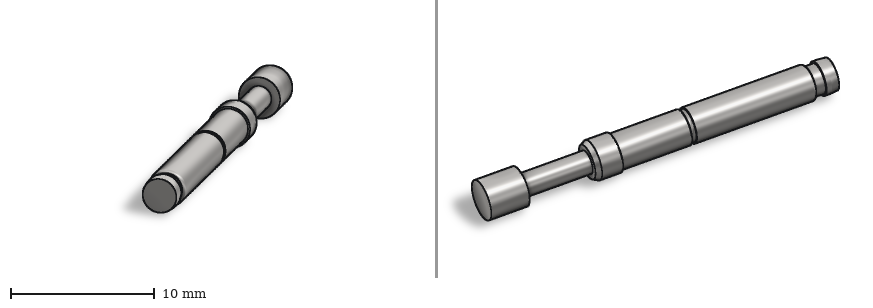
import cadquery as cq

total_length = 27.3

head_diameter = 3.0
head_length = 3.0

plunger_diameter = 1.75
plunger_length = 5.25

collar_diameter = head_diameter
collar_length = 2.05
collar_chamfer_length = 0.4
collar_chamfer_depth = 0.22

barrel_diameter = 2.7
barrel_rounding = 0.25

groove_edge_diameter = 2.48
groove_bottom_diameter = 2.35
groove_width = 0.38
groove_distance = 15.75

neck_diameter = 2.27
neck_length = 0.75

tail_diameter = 2.57
tail_length = 1.0
tail_taper_length = 0.6
tail_end_diameter = 2.45

head_face = total_length / 2
tail_face = -total_length / 2
head_back = head_face - head_length
collar_front = head_back - plunger_length
collar_back = collar_front - collar_length
groove_front = head_face - groove_distance
tail_front = tail_face + tail_length
barrel_back = tail_front + neck_length


def cylinder(diameter, start, end):
    """Round bar on the Y axis from start up to end."""
    bar = cq.Workplane("XZ", origin=(0, end, 0))
    return bar.circle(diameter / 2).extrude(end - start)


def make_collar():
    collar = cylinder(collar_diameter, collar_back, collar_front)
    return collar.faces(">Y").chamfer(collar_chamfer_length, collar_chamfer_depth)


def make_barrel():
    barrel = cylinder(barrel_diameter, barrel_back, collar_back)
    barrel = barrel.faces("<Y").edges().fillet(barrel_rounding)
    return barrel.cut(make_groove())


def make_groove():
    """Ring of material removed by the concave, round-bottomed groove."""
    groove_back = groove_front - groove_width
    groove_middle = (groove_front + groove_back) / 2
    rim_radius = barrel_diameter / 2
    edge_radius = groove_edge_diameter / 2
    bottom_radius = groove_bottom_diameter / 2
    profile = (
        cq.Workplane("XY")
        .moveTo(rim_radius, groove_front)
        .lineTo(edge_radius, groove_front)
        .threePointArc((bottom_radius, groove_middle), (edge_radius, groove_back))
        .lineTo(rim_radius, groove_back)
        .close()
    )
    return profile.revolve(360, (0, 0), (0, 1))


def make_tail():
    """Tail knob, narrowing towards its free end."""
    tail = cylinder(tail_diameter, tail_face, tail_front)
    taper_depth = (tail_diameter - tail_end_diameter) / 2
    return tail.faces("<Y").chamfer(tail_taper_length, taper_depth)


head = cylinder(head_diameter, head_back, head_face)
plunger = cylinder(plunger_diameter, collar_front, head_back)
neck = cylinder(neck_diameter, tail_front, barrel_back)

result = (
    head.union(plunger)
    .union(make_collar())
    .union(make_barrel())
    .union(neck)
    .union(make_tail())
)